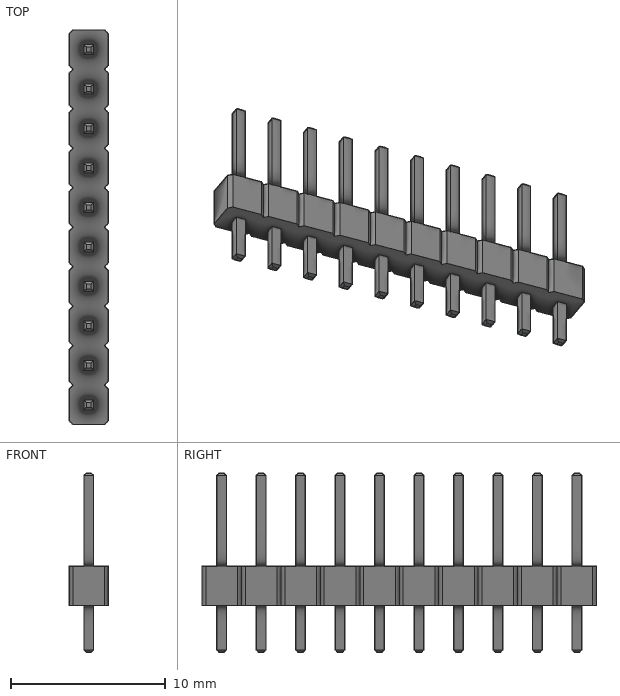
import cadquery as cq

pin_count = 10
pitch = 2.55
row_length = pin_count * pitch

block_width = pitch
block_height = pitch
block_chamfer = 0.25

pin_side = 0.64
pin_above = 6.0
pin_below = 3.0
pin_length = pin_below + block_height + pin_above
tip_chamfer = pin_side / 4


def make_block():
    """Insulator block for one pin, standing on Z = 0."""
    block = cq.Workplane("XY").box(block_width, pitch, block_height, centered=(True, True, False))
    return block.edges("|Z").chamfer(block_chamfer)


def make_pin():
    """Square pin passing through the block, tapered at both ends."""
    base = cq.Workplane("XY").workplane(offset=-pin_below)
    pin = base.box(pin_side, pin_side, pin_length, centered=(True, True, False))
    return pin.faces("<Z or >Z").chamfer(tip_chamfer)


position = make_block().union(make_pin())
first_y = (pitch - row_length) / 2

result = position.translate((0, first_y, 0))
for index in range(1, pin_count):
    result = result.union(position.translate((0, first_y + index * pitch, 0)))
result = result.clean()